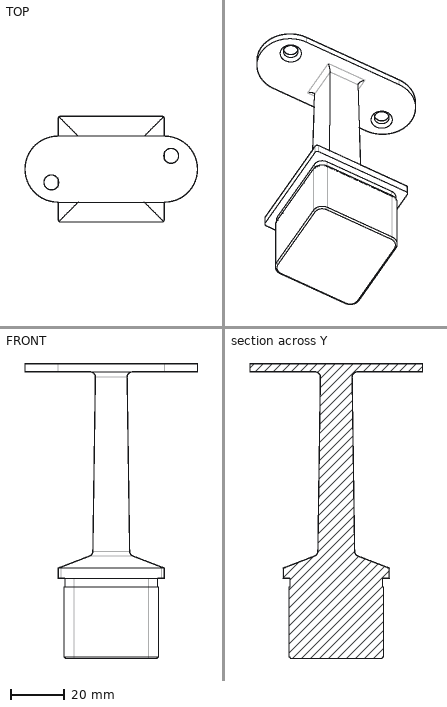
import cadquery as cq

total_height = 111.0

plug_width = 35.7
plug_corner_radius = 3.9
plug_bottom_chamfer = 0.7
neck_inset = 0.4
neck_height = 3.2
plug_total_height = 30.2

cap_width = 40.0
cap_corner_radius = 1.0
slab_height = 3.9
roof_height = 5.0

column_bottom_width = 14.0
column_top_width = 12.0
column_fillet = 1.9
joint_margin = 1.1

plate_length = 65.0
plate_width = 25.0
plate_thickness = 3.1
hole_diameter = 5.5
countersink_depth = 1.2
hole_offset_x = 22.5
hole_offset_y = 5.0

plug_body_height = plug_total_height - neck_height
roof_bottom = plug_total_height + slab_height
column_bottom = roof_bottom + roof_height
column_top = total_height - plate_thickness


def rounded_square(width, corner_radius, bottom, height):
    """Upright square block with rounded vertical edges."""
    block = cq.Workplane("XY", origin=(0, 0, bottom)).rect(width, width).extrude(height)
    return block.edges("|Z").fillet(corner_radius)


def make_plug():
    body = rounded_square(plug_width, plug_corner_radius, 0, plug_body_height)
    body = body.faces("<Z").edges().chamfer(plug_bottom_chamfer)
    neck_width = plug_width - 2 * neck_inset
    neck_radius = plug_corner_radius - neck_inset
    neck = rounded_square(neck_width, neck_radius, plug_body_height, neck_height)
    return body.union(neck)


def make_slab():
    return rounded_square(cap_width, cap_corner_radius, plug_total_height, slab_height)


def roof_and_column_prism():
    """Side outline of roof, column and plate underside, extruded along Y, with both column joints filleted."""
    half_cap = cap_width / 2
    half_bottom = column_bottom_width / 2
    half_top = column_top_width / 2
    right_side = [
        (half_cap, roof_bottom),
        (half_bottom, column_bottom),
        (half_top, column_top),
        (half_cap, column_top),
        (half_cap, total_height),
    ]
    left_side = [(-x, z) for x, z in reversed(right_side)]
    prism = cq.Workplane("XZ").polyline(right_side + left_side).close().extrude(half_cap, both=True)
    joint_box = cq.selectors.BoxSelector(
        (-half_bottom - joint_margin, -joint_margin, column_bottom - joint_margin),
        (half_bottom + joint_margin, joint_margin, column_top + joint_margin),
    )
    return prism.edges("|Y").edges(joint_box).fillet(column_fillet)


def make_roof_and_column():
    """Square roof and column: the same prism crossed with itself, so all fillets meet in mitres."""
    prism = roof_and_column_prism()
    crossed = prism.intersect(prism.rotate((0, 0, 0), (0, 0, 1), 90))
    envelope = rounded_square(cap_width, cap_corner_radius, roof_bottom, column_top - roof_bottom)
    return crossed.intersect(envelope)


def make_plate():
    plate = cq.Workplane("XY", origin=(0, 0, column_top)).slot2D(plate_length, plate_width)
    plate = plate.extrude(plate_thickness)
    hole_centers = [(hole_offset_x, hole_offset_y), (-hole_offset_x, -hole_offset_y)]
    plate = plate.faces(">Z").workplane().pushPoints(hole_centers).hole(hole_diameter)
    hole_rims = plate.faces("<Z").edges("%CIRCLE").edges(cq.selectors.RadiusNthSelector(0))
    return hole_rims.chamfer(countersink_depth)


result = make_plug().union(make_slab()).union(make_roof_and_column()).union(make_plate())